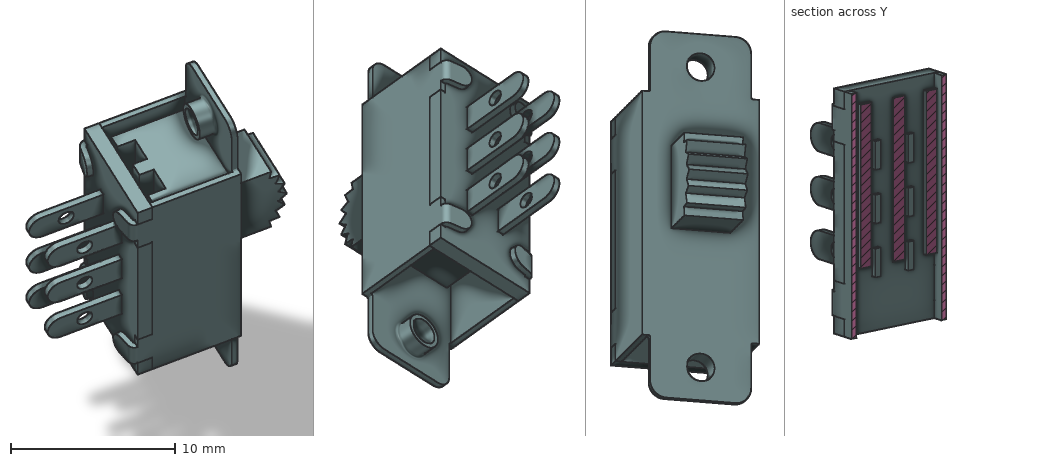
import cadquery as cq
import math


frame_width = 7.4
frame_height = 15.45
frame_length = 23.2
sheet = 0.4
ear_width = 6.38
ear_corner_radius = 1.0
ear_root_radius = 0.15
body_depth = 7.0
inner_wall = frame_width / 2 - sheet

eyelet_spacing = 19.02
eyelet_diameter = 2.32
eyelet_hole_diameter = 1.75
eyelet_depth = 1.55
eyelet_fillet = 0.19

foot_bottom = 4.38
foot_top = 6.61
tab_width = 1.53
tab_tip = 1.72
tab_bend_radius = 0.1
tab_angle = 10.0

base_thickness = 1.0

knob_width = 3.71
knob_height = 5.25
slider_offset = 1.76
block_width = 5.96
block_height = 10.35
outer_rib_width = 0.85
outer_rib_end = 5.55
middle_rib_width = 0.93
middle_rib_end = 5.31
block_floor = 4.35
knob_top = 4.0
grip_half = [
    (2.92, knob_height / 2),
    (2.8, 2.05),
    (3.5, 2.0),
    (3.22, 1.3),
    (3.85, 1.0),
    (3.4, 0.46),
]

terminal_thickness = 0.45
terminal_width = 1.8
terminal_spacing_x = 2.58
terminal_pitch = 3.39
terminal_inner_end = 5.73
terminal_tip = 12.02
terminal_hole_diameter = 1.02
terminal_hole_depth = 9.51


def box(x_range, y_range, z_range):
    """Box between two limits on each axis."""
    limits = (x_range, y_range, z_range)
    sizes = [high - low for low, high in limits]
    return cq.Workplane("XY").box(*sizes, centered=False).translate([low for low, high in limits])


def centered_span(size, middle=0.0):
    return (middle - size / 2, middle + size / 2)


def cylinder_y(diameter, y_start, y_end, z):
    """Cylinder along Y on the mid plane, from y_start back to y_end."""
    return (
        cq.Workplane("XZ", origin=(0, y_start, z))
        .circle(diameter / 2)
        .extrude(y_start - y_end)
    )


def make_foot(side):
    """Lower end of a side wall, filling a notch of the base; side is +1 or -1 along Z."""
    z_range = sorted((side * foot_bottom, side * foot_top))
    return box((inner_wall, frame_width / 2), (-body_depth, base_thickness - body_depth), z_range)


def make_tab(side):
    """Clamping tab of the +X wall, bent inwards under the base, with a rounded tip."""
    slope = math.radians(tab_angle)
    along = cq.Vector(-math.cos(slope), -math.sin(slope), 0)
    outward = cq.Vector(math.sin(slope), -math.cos(slope), 0)
    half_width = tab_width / 2
    bend_x = inner_wall - tab_bend_radius
    bend_center = cq.Vector(bend_x, -body_depth, side * (foot_top - half_width))
    bend = (
        cq.Workplane("XZ", origin=bend_center.toTuple())
        .moveTo(tab_bend_radius + sheet / 2, 0)
        .rect(sheet, tab_width)
        .revolve(90 - tab_angle, (0, 0), (0, -1))
    )
    inner_face = cq.Plane(origin=bend_center + outward * tab_bend_radius, xDir=along, normal=outward)
    length = (bend_x - tab_tip) / math.cos(slope)
    flat = (
        cq.Workplane(inner_face)
        .moveTo(0, -half_width)
        .lineTo(length - half_width, -half_width)
        .threePointArc((length, 0), (length - half_width, half_width))
        .lineTo(0, half_width)
        .close()
        .extrude(sheet)
    )
    return bend.union(flat)


def make_front_plate():
    """Front plate with a mounting ear at each end and fillets at the ear corners and roots."""
    ears = box(centered_span(ear_width), (-sheet, 0), centered_span(frame_length))
    ears = ears.edges("|Y").fillet(ear_corner_radius)
    front = box(centered_span(frame_width), (-sheet, 0), centered_span(frame_height))
    root_edges = cq.selectors.BoxSelector(
        (-ear_width / 2 - ear_root_radius, -sheet, -frame_height / 2 - ear_root_radius),
        (ear_width / 2 + ear_root_radius, 0, frame_height / 2 + ear_root_radius),
    )
    return front.union(ears).edges("|Y").edges(root_edges).fillet(ear_root_radius)


def add_eyelet(frame, z):
    """Tubular eyelet behind an ear, filleted at its root and open right through the ear."""
    tube = cylinder_y(eyelet_diameter, 0, -eyelet_depth, z)
    flare = (
        cq.Workplane("XY", origin=(0, 0, z))
        .moveTo(0, -sheet)
        .lineTo(eyelet_diameter / 2 + eyelet_fillet, -sheet)
        .radiusArc((eyelet_diameter / 2, -sheet - eyelet_fillet), -eyelet_fillet)
        .lineTo(0, -sheet - eyelet_fillet)
        .close()
        .revolve(360, (0, 0), (0, 1))
    )
    hole = cylinder_y(eyelet_hole_diameter, 0, -eyelet_depth, z)
    return frame.union(tube).union(flare).cut(hole)


def make_frame():
    """Sheet metal housing: front plate, ears, eyelets, side walls, feet and clamping tabs."""
    wall = box(
        (inner_wall, frame_width / 2),
        (base_thickness - body_depth, 0),
        centered_span(frame_height),
    )
    for side in (1, -1):
        wall = wall.union(make_foot(side)).union(make_tab(side))
    frame = make_front_plate().union(wall).union(wall.mirror("YZ"))
    for side in (1, -1):
        frame = add_eyelet(frame, side * eyelet_spacing / 2)
    knob_window = box(
        centered_span(knob_width), (-sheet, 0), centered_span(knob_height, slider_offset)
    )
    return frame.cut(knob_window)


def make_base():
    """Insulating board with notches for the feet and slots for the terminals."""
    base = box(
        centered_span(frame_width),
        (-body_depth, base_thickness - body_depth),
        centered_span(frame_height),
    )
    for side in (1, -1):
        foot = make_foot(side)
        base = base.cut(foot).cut(foot.mirror("YZ"))
    for x, z in terminal_positions:
        base = base.cut(make_terminal(x, z))
    return base


def make_slider():
    """Sliding block with three contact ribs and a toothed knob in front."""
    block = box(
        centered_span(block_width),
        (-outer_rib_end, -sheet),
        centered_span(block_height, slider_offset),
    )
    channels = box(
        centered_span(block_width - 2 * outer_rib_width),
        (-outer_rib_end, -block_floor),
        centered_span(block_height, slider_offset),
    )
    middle_rib = box(
        centered_span(middle_rib_width),
        (-middle_rib_end, -block_floor),
        centered_span(block_height, slider_offset),
    )
    grip_mirrored = [(y, -z) for y, z in reversed(grip_half)]
    grip = [*grip_half, (knob_top, 0), *grip_mirrored]
    root = [(-sheet, -knob_height / 2), (-sheet, knob_height / 2)]
    knob = (
        cq.Workplane("YZ", origin=(0, 0, slider_offset))
        .polyline(root + grip)
        .close()
        .extrude(knob_width / 2, both=True)
    )
    return block.cut(channels).union(middle_rib).union(knob)


def make_terminal(x, z):
    """Flat solder lug along Y with a fully rounded tip and a wire hole."""
    half_width = terminal_width / 2
    tip_start = half_width - terminal_tip
    return (
        cq.Workplane("YZ", origin=(x, 0, z))
        .moveTo(-terminal_inner_end, half_width)
        .lineTo(tip_start, half_width)
        .threePointArc((-terminal_tip, 0), (tip_start, -half_width))
        .lineTo(-terminal_inner_end, -half_width)
        .close()
        .moveTo(-terminal_hole_depth, 0)
        .circle(terminal_hole_diameter / 2)
        .extrude(terminal_thickness / 2, both=True)
    )


terminal_positions = [
    (column * terminal_spacing_x / 2, row * terminal_pitch)
    for column in (-1, 1)
    for row in (-1, 0, 1)
]

frame = make_frame()
base = make_base()
slider = make_slider()
terminals = [make_terminal(x, z) for x, z in terminal_positions]

result = cq.Compound.makeCompound([
    frame.val(),
    base.val(),
    slider.val(),
    *[terminal.val() for terminal in terminals],
])